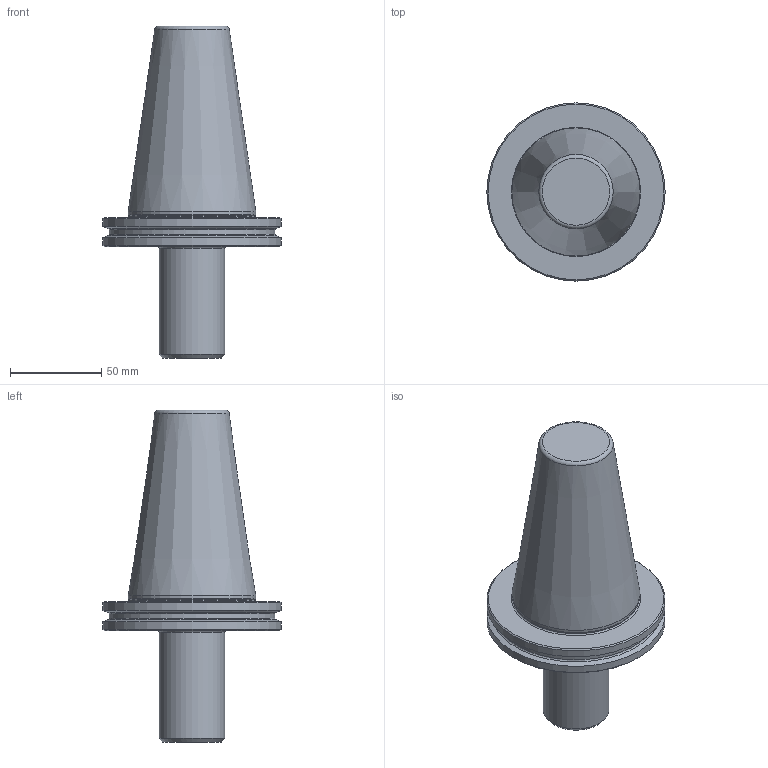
import cadquery as cq
import math


gauge_radius = 69.85 / 2
taper_ratio = 7 / 24
taper_length = 101.6
tip_fillet = 2.0

land_bottom = -1.6
neck_radius = gauge_radius - 0.35
neck_bevel_height = 0.5
neck_root_fillet = 0.75

flange_radius = 97.5 / 2
flange_top = -3.2
flange_bottom = -19.1
flange_chamfer = 0.7

groove_center = -11.1
groove_floor_radius = 45.35
groove_floor_width = 3.8
groove_wall_angle = 20.0
groove_floor_fillet = 1.0

stub_radius = 36.0 / 2
stub_bottom = -80.0
stub_chamfer_width = 1.7
stub_chamfer_height = 2.0
stub_root_fillet = 1.0


def revolve_outline(points):
    """Revolve a closed outline of (radius, height) points about Z."""
    return cq.Workplane("XZ").polyline(points).close().revolve(360, (0, 0), (0, 1))


def fillet_circle(body, circle_radius, height, fillet_radius):
    """Round the circular edge that has the given radius and height."""
    tolerance = 1e-4

    def is_wanted(edge):
        same_radius = abs(edge.radius() - circle_radius) < tolerance
        return same_radius and abs(edge.Center().z - height) < tolerance

    return body.edges("%CIRCLE").filter(is_wanted).fillet(fillet_radius)


def make_body():
    """Taper, neck, flange and stub as one solid, with the tip and inner corners rounded."""
    tip_radius = gauge_radius - taper_length * taper_ratio / 2
    body = revolve_outline([
        (0, taper_length),
        (tip_radius, taper_length),
        (gauge_radius, 0),
        (gauge_radius, land_bottom),
        (neck_radius, land_bottom - neck_bevel_height),
        (neck_radius, flange_top),
        (flange_radius - flange_chamfer, flange_top),
        (flange_radius, flange_top - flange_chamfer),
        (flange_radius, flange_bottom + flange_chamfer),
        (flange_radius - flange_chamfer, flange_bottom),
        (stub_radius, flange_bottom),
        (stub_radius, stub_bottom + stub_chamfer_height),
        (stub_radius - stub_chamfer_width, stub_bottom),
        (0, stub_bottom),
    ])
    body = fillet_circle(body, tip_radius, taper_length, tip_fillet)
    body = fillet_circle(body, neck_radius, flange_top, neck_root_fillet)
    return fillet_circle(body, stub_radius, flange_bottom, stub_root_fillet)


def make_groove_cutter():
    """Ring that removes the gripper groove, with rounded floor corners."""
    depth = flange_radius - groove_floor_radius
    floor_half = groove_floor_width / 2
    mouth_half = floor_half + depth * math.tan(math.radians(groove_wall_angle))
    cutter = revolve_outline([
        (groove_floor_radius, groove_center - floor_half),
        (flange_radius, groove_center - mouth_half),
        (flange_radius, groove_center + mouth_half),
        (groove_floor_radius, groove_center + floor_half),
    ])
    for side in (-1, 1):
        corner_height = groove_center + side * floor_half
        cutter = fillet_circle(cutter, groove_floor_radius, corner_height, groove_floor_fillet)
    return cutter


result = make_body().cut(make_groove_cutter())